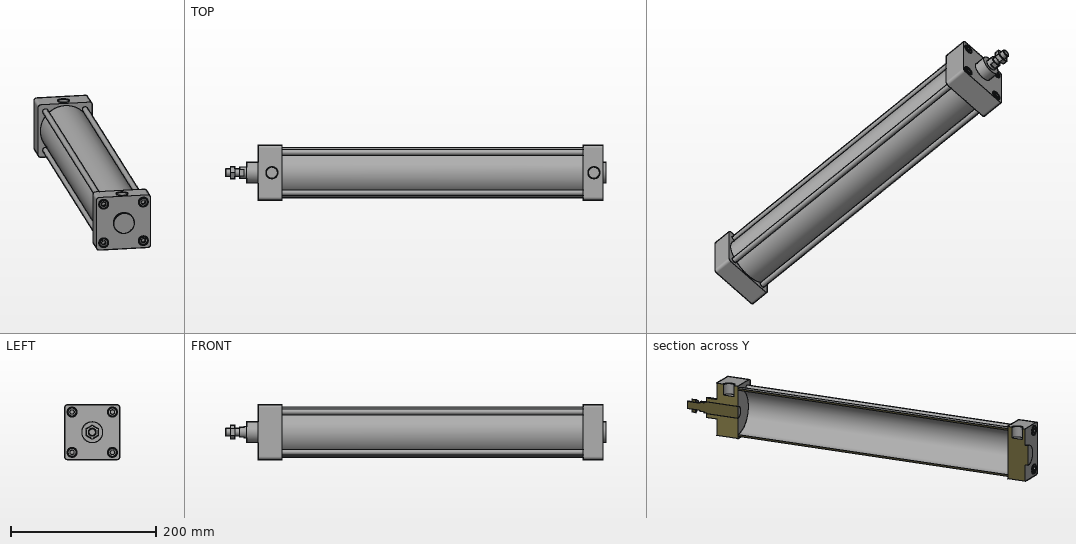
import cadquery as cq
import math

total_length = 524.0
cap_side = 76.0
cap_corner_radius = 4.0
front_cap_length = 33.0
rear_cap_length = 27.0
boss_diameter = 29.0
front_boss_length = 15.5
rear_boss_length = 4.0

tube_diameter = 69.5
tube_bore = 63.5

tie_rod_diameter = 8.0
tie_rod_offset = 28.0
tie_rod_head_diameter = 13.5
tie_rod_head_length = 8.0
tie_rod_head_chamfer = 1.3
socket_corner_diameter = 7.0
socket_depth = 4.0

port_diameter = 15.0
port_rim_diameter = 17.0
port_depth = 15.5
front_port_setback = 19.0
rear_port_setback = 12.5

rod_diameter = 16.0
rod_flat_width = 13.5
rod_flat_length = 6.5
thread_diameter = 11.0
thread_length = 19.5
thread_chamfer_length = 0.5
thread_chamfer_height = 1.0
rod_exposed_length = 29.5

nut_start = 7.0
nut_length = 6.5
nut_width = 17.0

half_length = total_length / 2
rod_tip_x = -half_length
front_boss_x = rod_tip_x + rod_exposed_length
front_cap_x = front_boss_x + front_boss_length
tube_start_x = front_cap_x + front_cap_length
rear_face_x = half_length - rear_boss_length
tube_end_x = rear_face_x - rear_cap_length

tie_rod_centres = [
    (y_sign * tie_rod_offset, z_sign * tie_rod_offset) for y_sign in (-1, 1) for z_sign in (-1, 1)
]


def plane_at(x):
    """Plane square to the X axis, with local x along +Y and local y along +Z."""
    return cq.Workplane("YZ", origin=(x, 0, 0))


def cylinder_x(start_x, end_x, diameter):
    return plane_at(start_x).circle(diameter / 2).extrude(end_x - start_x)


def cap_block(start_x, length):
    return plane_at(start_x).rect(cap_side, cap_side).extrude(length).edges("|X").fillet(cap_corner_radius)


def tie_rod_bores(start_x, end_x, diameter):
    return plane_at(start_x).pushPoints(tie_rod_centres).circle(diameter / 2).extrude(end_x - start_x)


def port(x):
    """Tool for a blind port with a chamfered rim, sunk from the top face of a cap."""
    top = cq.Workplane("XY", origin=(x, 0, cap_side / 2))
    bore = top.circle(port_diameter / 2).extrude(-port_depth)
    rim_chamfer = (port_rim_diameter - port_diameter) / 2
    countersink = top.circle(port_rim_diameter / 2).workplane(offset=-rim_chamfer)
    return bore.union(countersink.circle(port_diameter / 2).loft(ruled=True))


def make_front_cap():
    head_seat_x = front_cap_x + tie_rod_head_length
    cap = cap_block(front_cap_x, front_cap_length)
    cap = cap.union(cylinder_x(front_boss_x, front_cap_x, boss_diameter))
    cap = cap.cut(cylinder_x(front_boss_x, tube_start_x, rod_diameter))
    cap = cap.cut(tie_rod_bores(front_cap_x, tube_start_x, tie_rod_diameter))
    cap = cap.cut(tie_rod_bores(front_cap_x, head_seat_x, tie_rod_head_diameter))
    return cap.cut(port(front_cap_x + front_port_setback))


def make_rear_cap():
    head_seat_x = rear_face_x - tie_rod_head_length
    cap = cap_block(tube_end_x, rear_cap_length)
    cap = cap.union(cylinder_x(rear_face_x, half_length, boss_diameter))
    cap = cap.cut(tie_rod_bores(tube_end_x, rear_face_x, tie_rod_diameter))
    cap = cap.cut(tie_rod_bores(head_seat_x, rear_face_x, tie_rod_head_diameter))
    return cap.cut(port(rear_face_x - rear_port_setback))


def make_tube():
    tube = cylinder_x(tube_start_x, tube_end_x, tube_diameter)
    return tube.cut(cylinder_x(tube_start_x, tube_end_x, tube_bore))


def make_tie_rod(quarter_turn):
    """Rod with a flush round head and hexagon socket at each end, turned about X into its corner."""
    rod = cylinder_x(front_cap_x, rear_face_x, tie_rod_diameter)
    for face_x, inward in ((front_cap_x, 1), (rear_face_x, -1)):
        head = cylinder_x(face_x, face_x + inward * tie_rod_head_length, tie_rod_head_diameter)
        socket = plane_at(face_x).polygon(6, socket_corner_diameter).extrude(inward * socket_depth)
        outer_face = "<X" if inward > 0 else ">X"
        head = head.faces(outer_face).chamfer(tie_rod_head_chamfer)
        rod = rod.union(head).cut(socket)
    rod = rod.translate((0, tie_rod_offset, tie_rod_offset))
    return rod.rotate((0, 0, 0), (1, 0, 0), 90 * quarter_turn)


def make_piston_rod():
    shoulder_x = rod_tip_x + thread_length
    thread = cylinder_x(rod_tip_x, shoulder_x, thread_diameter)
    thread = thread.faces("<X").chamfer(thread_chamfer_length, thread_chamfer_height)
    rod = cylinder_x(shoulder_x, tube_start_x, rod_diameter)
    flat_blank = cylinder_x(shoulder_x, shoulder_x + rod_flat_length, 2 * rod_diameter)
    flat_core = plane_at(shoulder_x).rect(2 * rod_diameter, rod_flat_width).extrude(rod_flat_length)
    return thread.union(rod.cut(flat_blank.cut(flat_core)))


def make_nut():
    corner_diameter = nut_width / math.cos(math.pi / 6)
    nut = plane_at(rod_tip_x + nut_start).transformed(rotate=(0, 0, 90))
    nut = nut.polygon(6, corner_diameter).extrude(nut_length)
    return nut.cut(cylinder_x(rod_tip_x, rod_tip_x + thread_length, thread_diameter))


front_cap = make_front_cap()
rear_cap = make_rear_cap()
tube = make_tube()
tie_rods = [make_tie_rod(quarter_turn) for quarter_turn in range(4)]
piston_rod = make_piston_rod()
nut = make_nut()

result = cq.Compound.makeCompound(
    [
        front_cap.val(),
        rear_cap.val(),
        tube.val(),
        *[tie_rod.val() for tie_rod in tie_rods],
        piston_rod.val(),
        nut.val(),
    ]
)